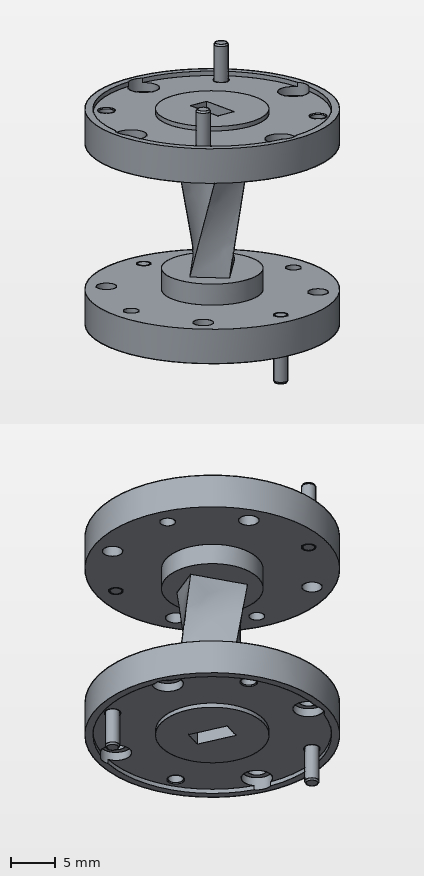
import cadquery as cq
import math


total_height = 33.15
pin_protrusion = 3.88
face_z = total_height / 2 - pin_protrusion
twist_angle = -45.0

flange_diameter = 28.58
flange_thickness = 4.08
boss_diameter = 11.4
boss_height = 2.5
recess_outer_diameter = 26.75
recess_inner_diameter = 12.73
recess_depth = 0.53

bolt_circle_radius = 11.9
screw_angles = (0, 90, 180, 270)
dowel_angles = (45, 225)
pin_angles = (135, 315)
screw_hole_diameter = 2.3
counterbore_diameter = 3.5
counterbore_depth = 1.55
dowel_hole_diameter = 1.75
hole_chamfer = 0.115

pin_diameter = 1.62
pin_length = flange_thickness + pin_protrusion
pin_chamfer_length = 0.23
pin_chamfer_width = 0.13

tube_width = 6.8
tube_depth = 4.48
bore_width = 4.77
bore_depth = 2.4
flange_back_z = face_z - flange_thickness
boss_end_z = flange_back_z - boss_height
twist_length = 2 * boss_end_z


def to_bottom_end(shape):
    """Turn a top-end shape over and twist it into its place at the bottom end."""
    return shape.rotate((0, 0, 0), (1, 0, 0), 180).rotate((0, 0, 0), (0, 0, 1), twist_angle)


def cylinder(diameter, bottom_z, top_z):
    return cq.Workplane("XY").workplane(offset=bottom_z).circle(diameter / 2).extrude(top_z - bottom_z)


def on_bolt_circle(shape, angle):
    """Move a shape from the Z axis to an angle on the bolt circle."""
    turn = math.radians(angle)
    return shape.translate((bolt_circle_radius * math.cos(turn), bolt_circle_radius * math.sin(turn), 0))


def screw_hole_cutter():
    through = cylinder(screw_hole_diameter, flange_back_z, face_z)
    counterbore = cylinder(counterbore_diameter, face_z - counterbore_depth, face_z)
    return through.union(counterbore)


def chamfered_hole_cutter(diameter):
    """Through hole with a 45 degree chamfer at the floor of the face recess."""
    floor_z = face_z - recess_depth
    radius = diameter / 2
    profile = [
        (0, flange_back_z),
        (radius, flange_back_z),
        (radius, floor_z - hole_chamfer),
        (radius + hole_chamfer, floor_z),
        (0, floor_z),
    ]
    return cq.Workplane("XZ").polyline(profile).close().revolve(360, (0, 0, 0), (0, 1, 0))


def make_flange():
    """Top flange with its boss; the bore is straight through both."""
    flange = cylinder(flange_diameter, flange_back_z, face_z)
    flange = flange.union(cylinder(boss_diameter, boss_end_z, flange_back_z))

    recess = cylinder(recess_outer_diameter, face_z - recess_depth, face_z)
    recess = recess.cut(cylinder(recess_inner_diameter, face_z - recess_depth, face_z))
    flange = flange.cut(recess)

    for angle in screw_angles:
        flange = flange.cut(on_bolt_circle(screw_hole_cutter(), angle))
    for angle in dowel_angles:
        flange = flange.cut(on_bolt_circle(chamfered_hole_cutter(dowel_hole_diameter), angle))
    for angle in pin_angles:
        flange = flange.cut(on_bolt_circle(chamfered_hole_cutter(pin_diameter), angle))

    bore = cq.Workplane("XY").workplane(offset=boss_end_z).rect(bore_width, bore_depth)
    return flange.cut(bore.extrude(face_z - boss_end_z))


def twisted_bar(width, depth):
    """Ruled bar between the two bosses, turned by the twist angle at its lower end."""
    return (
        cq.Workplane("XY")
        .workplane(offset=boss_end_z)
        .rect(width, depth)
        .workplane(offset=-twist_length)
        .transformed(rotate=(0, 0, twist_angle))
        .rect(width, depth)
        .loft(ruled=True)
    )


def make_waveguide():
    tube = twisted_bar(tube_width, tube_depth).cut(twisted_bar(bore_width, bore_depth))
    flange = make_flange()
    return tube.union(flange).union(to_bottom_end(flange))


def make_pin(angle):
    """Top-end pin, flush with the back of the flange and chamfered at both ends."""
    tip_z = flange_back_z + pin_length
    radius = pin_diameter / 2
    end_radius = radius - pin_chamfer_width
    profile = [
        (0, flange_back_z),
        (end_radius, flange_back_z),
        (radius, flange_back_z + pin_chamfer_length),
        (radius, tip_z - pin_chamfer_length),
        (end_radius, tip_z),
        (0, tip_z),
    ]
    pin = cq.Workplane("XZ").polyline(profile).close().revolve(360, (0, 0, 0), (0, 1, 0))
    return on_bolt_circle(pin, angle)


waveguide = make_waveguide()

pins = []
for pin_angle in pin_angles:
    top_pin = make_pin(pin_angle)
    pins.append(top_pin.val())
    pins.append(to_bottom_end(top_pin).val())

result = cq.Compound.makeCompound([waveguide.solids().val(), *pins])